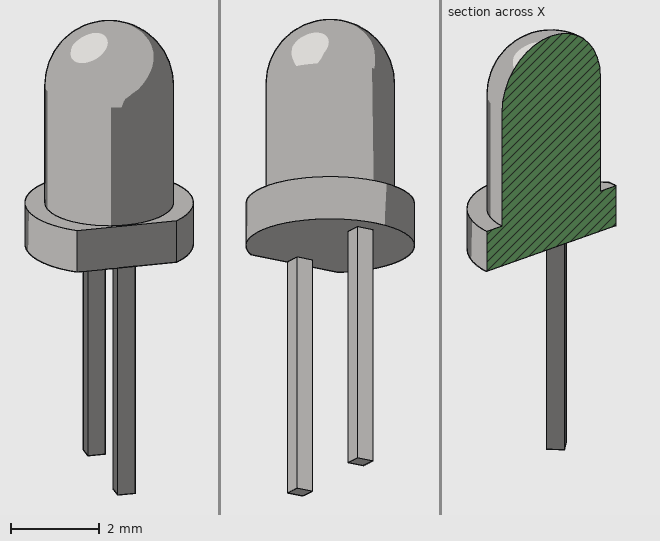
import cadquery as cq

total_height = 10.8
body_diameter = 2.9
flange_diameter = 3.8
flange_thickness = 1.0
flat_distance = 1.5
lead_length = 5.5
lead_side = 0.41
lead_pitch = 2.54
polarity_angle = -45.0

body_radius = body_diameter / 2
flange_radius = flange_diameter / 2
flange_top = lead_length + flange_thickness
dome_base = total_height - body_radius


def make_flange():
    """Round collar with one flat, facing +X before the part is turned."""
    disc = cq.Workplane("XY").workplane(offset=lead_length).circle(flange_radius).extrude(flange_thickness)
    beyond_flat = (
        cq.Workplane("XY")
        .workplane(offset=lead_length)
        .center(flat_distance + flange_radius, 0)
        .rect(flange_diameter, flange_diameter)
        .extrude(flange_thickness)
    )
    return disc.cut(beyond_flat)


def make_lens():
    """Cylinder with a hemispherical dome, revolved about Z."""
    dome_mid = body_radius * 0.5 ** 0.5
    return (
        cq.Workplane("XZ")
        .moveTo(0, flange_top)
        .lineTo(body_radius, flange_top)
        .lineTo(body_radius, dome_base)
        .threePointArc((dome_mid, dome_base + dome_mid), (0, total_height))
        .close()
        .revolve(360, (0, 0, 0), (0, 1, 0))
    )


def make_leads():
    """Two square leads in a row along X before the part is turned."""
    return (
        cq.Workplane("XY")
        .pushPoints([(-lead_pitch / 2, 0), (lead_pitch / 2, 0)])
        .rect(lead_side, lead_side)
        .extrude(lead_length)
    )


led = make_flange().union(make_lens()).union(make_leads())
result = led.rotate((0, 0, 0), (0, 0, 1), polarity_angle)